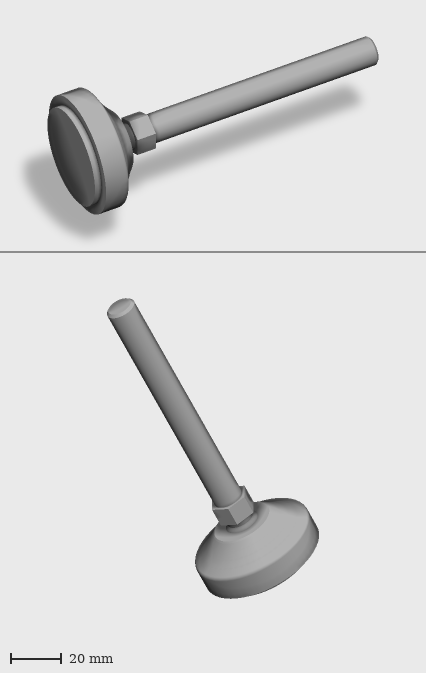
import cadquery as cq
import math

total_length = 134.0
foot_diameter = 50.0
pad_diameter = 41.5
stud_diameter = 12.0
neck_diameter = 11.0
crown_diameter = 24.1
flare_diameter = 14.0
hex_across_flats = 14.2

pad_top = 2.8
rim_top = 11.8
shoulder_top = 13.3
crown_top = 21.6
flare_top = 23.0
hex_bottom = 25.9
hex_height = 8.2
hex_top = hex_bottom + hex_height

shoulder_inset = 1.0
shoulder_bulge = 0.3
crown_corner_width = 0.7
crown_corner_drop = 0.5
cone_sag = 0.7
tip_chamfer = 1.1


def arc_middle(start, end, bulge):
    """Point offset by bulge to the right of the chord from start to end."""
    dx = end[0] - start[0]
    dy = end[1] - start[1]
    chord = math.hypot(dx, dy)
    return (
        (start[0] + end[0]) / 2 + bulge * dy / chord,
        (start[1] + end[1]) / 2 - bulge * dx / chord,
    )


def make_foot_and_neck():
    """Revolve the pad, rim, hollow cone and neck as one profile."""
    foot_radius = foot_diameter / 2
    pad_radius = pad_diameter / 2
    neck_radius = neck_diameter / 2
    rim_edge = (foot_radius, rim_top)
    shoulder_edge = (foot_radius - shoulder_inset, shoulder_top)
    crown_edge = (crown_diameter / 2, crown_top)
    cone_edge = (crown_edge[0] + crown_corner_width, crown_top - crown_corner_drop)
    return (
        cq.Workplane("XY")
        .lineTo(pad_radius, 0)
        .lineTo(pad_radius, pad_top)
        .lineTo(foot_radius, pad_top)
        .lineTo(*rim_edge)
        .threePointArc(arc_middle(rim_edge, shoulder_edge, shoulder_bulge), shoulder_edge)
        .threePointArc(arc_middle(shoulder_edge, cone_edge, -cone_sag), cone_edge)
        .lineTo(*crown_edge)
        .lineTo(flare_diameter / 2, crown_top)
        .lineTo(neck_radius, flare_top)
        .lineTo(neck_radius, hex_bottom)
        .lineTo(0, hex_bottom)
        .close()
        .revolve(360, (0, 0, 0), (0, 1, 0))
    )


def make_hex():
    """Hexagon with two flats facing X and two corners on the Z axis."""
    corner_diameter = hex_across_flats / math.cos(math.pi / 6)
    return (
        cq.Workplane("XZ", origin=(0, hex_bottom, 0))
        .transformed(rotate=(0, 0, 90))
        .polygon(6, corner_diameter)
        .extrude(-hex_height)
    )


def make_stud():
    """Plain stud above the hexagon with a chamfered tip."""
    return (
        cq.Workplane("XZ", origin=(0, hex_top, 0))
        .circle(stud_diameter / 2)
        .extrude(hex_top - total_length)
        .faces(">Y")
        .chamfer(tip_chamfer)
    )


result = make_foot_and_neck().union(make_hex()).union(make_stud())